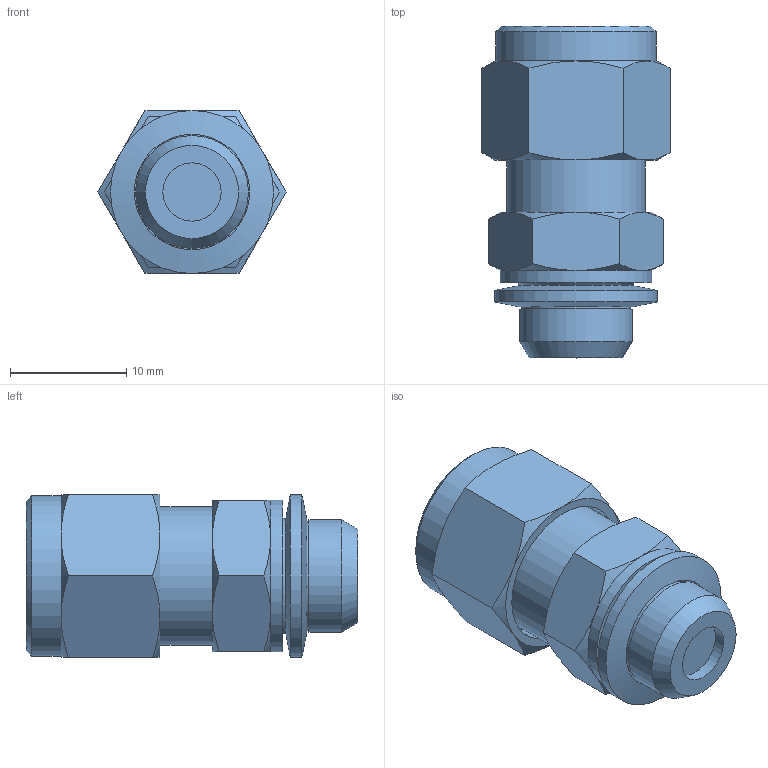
import cadquery as cq
import math

TIP_CHAMFER_END = 1.4
STUB_END = 4.2
WASHER_START = 4.4
WASHER_RIM_START = 4.82
WASHER_RIM_END = 5.8
WASHER_END = 6.22
FLANGE_START = 6.45
BODY_HEX_START = 7.5
BODY_HEX_END = 12.5
NUT_HEX_START = 17.0
NUT_HEX_END = 25.5
OVERALL_LENGTH = 28.5

TIP_RADIUS = 4.0
STUB_RADIUS = 4.85
RELIEF_RADIUS = 4.65
WASHER_HOLE_RADIUS = 4.95
SHOULDER_TIP_RADIUS = 4.8
SHOULDER_ROOT_RADIUS = 5.03
WASHER_RADIUS = 7.0
NECK_RADIUS = 5.95
CAP_RADIUS = 6.9
CAP_CHAMFER = 0.5

HEX_SIDES = 6
BODY_ACROSS_FLATS = 13.0
NUT_ACROSS_FLATS = 14.0
HEX_CHAMFER_ANGLE = 30.0
TURNING_MARGIN = 0.5

BORE_RADIUS = 2.5
BORE_DEPTH = 1.0
NUT_RECESS_RADIUS = 6.25
NUT_RECESS_DEPTH = 2.0


def revolve_profile(points):
    """Revolve a closed (radius, station) outline, drawn in the +Z half of the YZ plane, about Y."""
    outline = [(station, radius) for radius, station in points]
    return cq.Workplane("YZ").polyline(outline).close().revolve(360, (0, 0, 0), (1, 0, 0))


def cylinder(radius, start, end):
    return revolve_profile([(0, start), (radius, start), (radius, end), (0, end)])


def chamfered_hex(across_flats, start, end):
    """Hexagon with corners on the X axis and both ends turned down to the flats."""
    flat_radius = across_flats / 2
    corner_radius = flat_radius / math.cos(math.pi / HEX_SIDES)
    prism = (
        cq.Workplane("XZ", origin=(0, start, 0))
        .polygon(HEX_SIDES, 2 * corner_radius)
        .extrude(start - end)
    )
    outer_radius = corner_radius + TURNING_MARGIN
    drop = (outer_radius - flat_radius) * math.tan(math.radians(HEX_CHAMFER_ANGLE))
    envelope = revolve_profile([
        (0, start),
        (flat_radius, start),
        (outer_radius, start + drop),
        (outer_radius, end - drop),
        (flat_radius, end),
        (0, end),
    ])
    return prism.intersect(envelope)


def stub_and_washer():
    """Stub, relief groove under the washer, double-coned washer and tapered shoulder."""
    return revolve_profile([
        (0, 0),
        (TIP_RADIUS, 0),
        (STUB_RADIUS, TIP_CHAMFER_END),
        (STUB_RADIUS, STUB_END),
        (RELIEF_RADIUS, STUB_END),
        (RELIEF_RADIUS, WASHER_RIM_START),
        (WASHER_HOLE_RADIUS, WASHER_RIM_START),
        (WASHER_HOLE_RADIUS, WASHER_START),
        (WASHER_RADIUS, WASHER_RIM_START),
        (WASHER_RADIUS, WASHER_RIM_END),
        (SHOULDER_TIP_RADIUS, WASHER_END),
        (SHOULDER_ROOT_RADIUS, FLANGE_START),
        (0, FLANGE_START),
    ])


def union_nut():
    """Hexagonal nut with its round cap and the clearance recess around the neck."""
    cap = cylinder(CAP_RADIUS, NUT_HEX_END, OVERALL_LENGTH).faces(">Y").chamfer(CAP_CHAMFER)
    recess = cylinder(NUT_RECESS_RADIUS, NUT_HEX_START, NUT_HEX_START + NUT_RECESS_DEPTH)
    return chamfered_hex(NUT_ACROSS_FLATS, NUT_HEX_START, NUT_HEX_END).union(cap).cut(recess)


flange = cylinder(BODY_ACROSS_FLATS / 2, FLANGE_START, BODY_HEX_START)
body_hex = chamfered_hex(BODY_ACROSS_FLATS, BODY_HEX_START, BODY_HEX_END)
neck = cylinder(NECK_RADIUS, BODY_HEX_END, NUT_HEX_START + NUT_RECESS_DEPTH)
bore = cylinder(BORE_RADIUS, 0, BORE_DEPTH)

result = (
    stub_and_washer()
    .union(flange)
    .union(body_hex)
    .union(neck)
    .union(union_nut())
    .cut(bore)
)